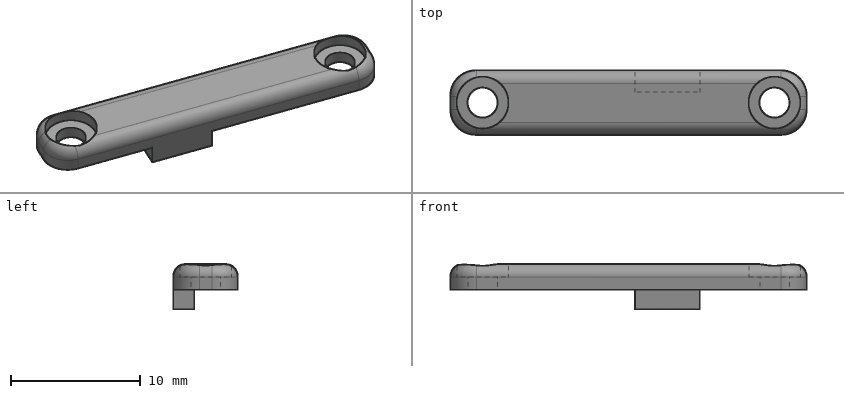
import cadquery as cq

PLATE_LENGTH = 27.5
PLATE_WIDTH = 5.0
PLATE_THICKNESS = 2.0
CORNER_RADIUS = 2.0
TOP_EDGE_RADIUS = 1.0

HOLE_DIAMETER = 2.3
COUNTERBORE_DIAMETER = 4.0
COUNTERBORE_DEPTH = 1.0
HOLE_X = (PLATE_LENGTH - PLATE_WIDTH) / 2

TAB_LENGTH = 5.0
TAB_WIDTH = 1.65
TAB_HEIGHT = 1.5
TAB_START_X = 0.5


def make_plate():
    """Bar resting on Z = 0, centred on X and Y."""
    plate = cq.Workplane("XY").box(
        PLATE_LENGTH, PLATE_WIDTH, PLATE_THICKNESS, centered=(True, True, False)
    )
    return plate.edges("|Z").fillet(CORNER_RADIUS).faces(">Z").edges().fillet(TOP_EDGE_RADIUS)


def cut_screw_holes(plate):
    """Through holes with flat-bottomed counterbores from the top face."""
    return (
        plate.faces(">Z")
        .workplane(origin=(0, 0, PLATE_THICKNESS))
        .pushPoints([(-HOLE_X, 0), (HOLE_X, 0)])
        .cboreHole(HOLE_DIAMETER, COUNTERBORE_DIAMETER, COUNTERBORE_DEPTH)
    )


def make_tab():
    """Rectangular tab hanging below the plate."""
    return (
        cq.Workplane("XY")
        .box(TAB_LENGTH, TAB_WIDTH, TAB_HEIGHT, centered=False)
        .translate((TAB_START_X, PLATE_WIDTH / 2 - TAB_WIDTH, -TAB_HEIGHT))
    )


result = cut_screw_holes(make_plate()).union(make_tab())